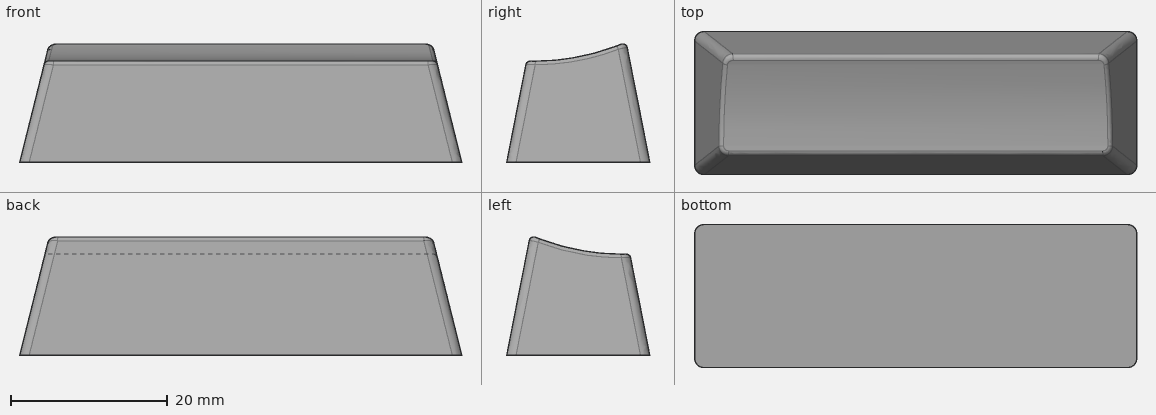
import cadquery as cq
import math

length = 56.4
width = 18.3
end_draft = 14.0
side_draft = 11.1
blank_height = 16.9

dish_radius = 28.75
dish_bottom_y = -5.45
dish_bottom_z = 12.9

corner_radius = 1.25
rim_radius = 0.6


def make_tapered_blank():
    """Rectangular frustum, taller than the finished part."""
    end_inset = blank_height * math.tan(math.radians(end_draft))
    side_inset = blank_height * math.tan(math.radians(side_draft))
    return (
        cq.Workplane("XY")
        .rect(length, width)
        .workplane(offset=blank_height)
        .rect(length - 2 * end_inset, width - 2 * side_inset)
        .loft(ruled=True)
    )


def is_sloping_corner(edge):
    return edge.BoundingBox().zlen > blank_height / 2


def round_corners(body):
    corners = [edge for edge in body.edges().vals() if is_sloping_corner(edge)]
    return body.newObject(corners).fillet(corner_radius)


def make_dish_cutter():
    return (
        cq.Workplane("YZ")
        .center(dish_bottom_y, dish_bottom_z + dish_radius)
        .circle(dish_radius)
        .extrude(length / 2, both=True)
    )


def round_rim(body):
    dish_face = body.faces(cq.selectors.NearestToPointSelector((0, dish_bottom_y, dish_bottom_z)))
    return dish_face.edges().fillet(rim_radius)


dished = round_corners(make_tapered_blank()).cut(make_dish_cutter())
result = round_rim(dished)